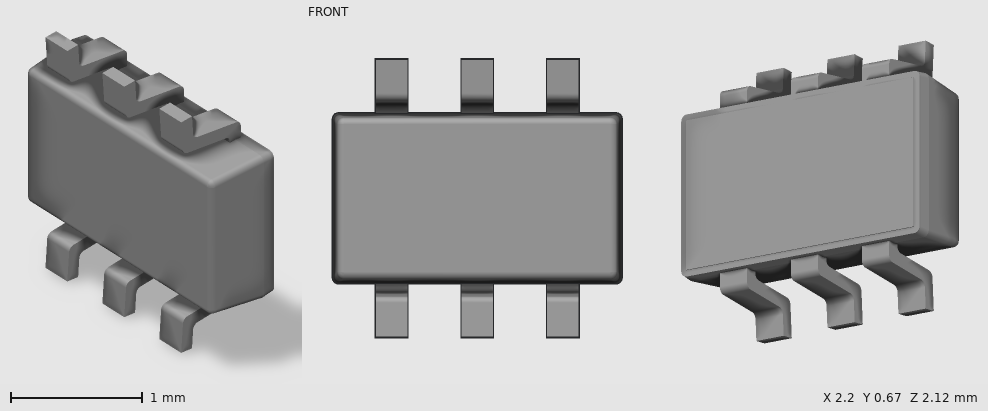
import cadquery as cq
import math


body_length = 2.2
body_height = 1.3
draft_angle = 5.0
front_depth = 0.5
back_depth = 0.1
edge_radius = 0.05
layer_thickness = 0.01
pad_margin = edge_radius

leads_per_side = 3
lead_pitch = 0.65
lead_width = 0.25
lead_thickness = 0.11
bend_radius = 0.05
lead_root_z = 0.5
knee_z = 0.75
toe_y = -0.495
toe_z = 1.056
arm_tilt = math.radians(6)
foot_tilt = math.radians(4)


def drafted_block(depth):
    """Half of the body, narrowing from the parting plane; positive depth is the front."""
    return (
        cq.Workplane("XZ")
        .rect(body_length, body_height)
        .extrude(depth, taper=draft_angle)
    )


def back_layer(start_y, margin):
    """Straight layer on the back of the body, inset by margin from the drafted outline."""
    inset = back_depth * math.tan(math.radians(draft_angle)) + margin
    return (
        cq.Workplane("XZ", origin=(0, start_y, 0))
        .rect(body_length - 2 * inset, body_height - 2 * inset)
        .extrude(-layer_thickness)
    )


def rounded_half(depth):
    """Drafted half of the body with its four corner edges rounded."""
    return drafted_block(depth).edges("not #Y").fillet(edge_radius)


def make_body():
    front = rounded_half(front_depth).faces("<Y").edges().fillet(edge_radius)
    back = rounded_half(-back_depth)
    rim = back_layer(back_depth, 0).edges("|Y").fillet(edge_radius)
    pad = back_layer(back_depth + layer_thickness, pad_margin)
    return front.union(back).union(rim).union(pad)


def lead_outline():
    """Corners of the bent strip in the YZ plane, mitred about its centre line."""
    arm_slope = math.tan(arm_tilt)
    foot_slope = math.tan(foot_tilt)
    ankle_y = (toe_y + (toe_z - knee_z) * foot_slope) / (1 - arm_slope * foot_slope)
    ankle_z = knee_z - ankle_y * arm_slope
    centre_line = [(0, lead_root_z), (0, knee_z), (ankle_y, ankle_z), (toe_y, toe_z)]

    headings = [0, math.pi / 2 - arm_tilt, foot_tilt]
    headings_in = headings[:1] + headings
    headings_out = headings + headings[-1:]
    back_side = []
    front_side = []
    for (y, z), heading_in, heading_out in zip(centre_line, headings_in, headings_out):
        mean_heading = (heading_in + heading_out) / 2
        reach = lead_thickness / 2 / math.cos((heading_out - heading_in) / 2)
        offset_y = reach * math.cos(mean_heading)
        offset_z = reach * math.sin(mean_heading)
        back_side.append((y + offset_y, z + offset_z))
        front_side.append((y - offset_y, z - offset_z))
    return back_side + front_side[::-1]


def make_lead():
    strip = cq.Workplane("YZ").polyline(lead_outline()).close().extrude(lead_width / 2, both=True)
    edges_by_height = strip.edges("|X").sort(lambda edge: edge.Center().z)
    return edges_by_height[2:-2].fillet(bend_radius)


def make_part():
    part = make_body()
    upper_lead = make_lead()
    lower_lead = upper_lead.mirror("XY")
    for index in range(leads_per_side):
        lead_x = (index - (leads_per_side - 1) / 2) * lead_pitch
        for lead in (upper_lead, lower_lead):
            part = part.union(lead.translate((lead_x, 0, 0)))
    return part


result = make_part()